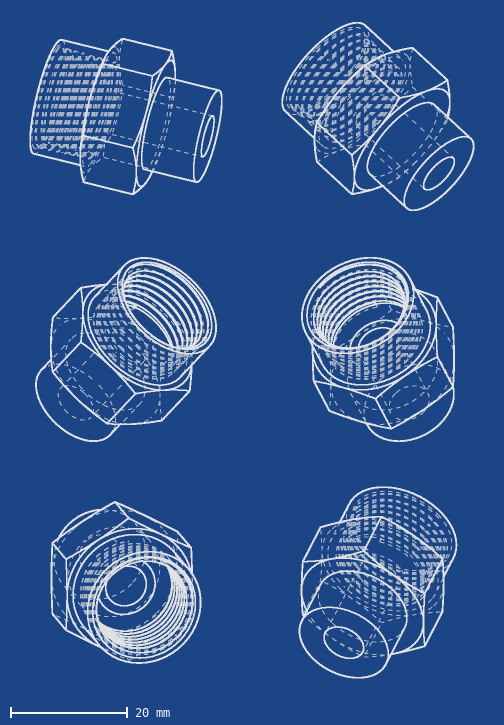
import math

import cadquery as cq


total_length = 28.7
socket_diameter = 20.1
spigot_diameter = 16.2
across_flats = 22.225
hex_length = 10.1
hex_start = (total_length - hex_length) / 2
hex_end = hex_start + hex_length
hex_chamfer_angle = 20
hex_half_angle = 30

mouth_diameter = 18.25
mouth_chamfer_angle = 45
mouth_crest_diameter = 16.0
seat_diameter = 10.3
through_diameter = 7.2
drill_point_half_angle = 59
bore_depth = 10.1

threads_per_inch = 18
mm_per_inch = 25.4
pitch = mm_per_inch / threads_per_inch
diameter_taper = 1 / 16
taper_slope = diameter_taper / 2
thread_depth = 0.9
crest_width = 0.17
flank_half_angle = 30
thread_overrun = 0.1
thread_end = bore_depth + thread_overrun
thread_lead_in = 1.5 * pitch
groove_overlap = 0.05


def crest_radius(x):
    """Radius of the tapered bore, which is also the thread crest, at x."""
    return mouth_crest_diameter / 2 - x * taper_slope


def make_hexagon():
    """Hexagonal collar with a corner up along Z and both ends chamfered."""
    corner_radius = across_flats / 2 / math.cos(math.radians(hex_half_angle))
    corner_drop = corner_radius - across_flats / 2
    chamfer_length = corner_drop * math.tan(math.radians(hex_chamfer_angle))
    prism = (
        cq.Workplane("YZ", origin=(hex_start, 0, 0))
        .polygon(6, 2 * corner_radius)
        .extrude(hex_length)
        .rotate((0, 0, 0), (1, 0, 0), 90)
    )
    corner_envelope = (
        cq.Workplane("YZ", origin=(hex_start, 0, 0))
        .circle(corner_radius)
        .extrude(hex_length)
        .faces("<X or >X")
        .chamfer(chamfer_length, corner_drop)
    )
    return prism.intersect(corner_envelope)


def make_body():
    """Socket cylinder, hexagonal collar and spigot cylinder in one row."""
    socket = cq.Workplane("YZ").circle(socket_diameter / 2).extrude(hex_end)
    spigot = (
        cq.Workplane("YZ", origin=(hex_start, 0, 0))
        .circle(spigot_diameter / 2)
        .extrude(total_length - hex_start)
    )
    return socket.union(make_hexagon()).union(spigot)


def make_bore():
    """Chamfered tapered bore, conical floor, flat seat and through hole."""
    mouth_radius = mouth_diameter / 2
    seat_radius = seat_diameter / 2
    through_radius = through_diameter / 2
    chamfer_slope = math.tan(math.radians(mouth_chamfer_angle))
    chamfer_depth = (mouth_radius - crest_radius(0)) / (chamfer_slope - taper_slope)
    floor_radius = crest_radius(bore_depth)
    point_depth = (floor_radius - seat_radius) / math.tan(math.radians(drill_point_half_angle))
    seat_x = bore_depth + point_depth
    return (
        cq.Workplane("XY")
        .moveTo(0, 0)
        .lineTo(0, mouth_radius)
        .lineTo(chamfer_depth, crest_radius(chamfer_depth))
        .lineTo(bore_depth, floor_radius)
        .lineTo(seat_x, seat_radius)
        .lineTo(seat_x, through_radius)
        .lineTo(total_length, through_radius)
        .lineTo(total_length, 0)
        .close()
        .revolve(360, (0, 0, 0), (1, 0, 0))
    )


def make_thread_groove():
    """Right-hand helical groove that widens toward the mouth with the taper."""
    flank_run = math.tan(math.radians(flank_half_angle))
    half_opening = (pitch - crest_width) / 2 + groove_overlap * flank_run
    half_root = half_opening - (thread_depth + groove_overlap) * flank_run
    start_radius = crest_radius(thread_end)
    inner = start_radius - groove_overlap
    outer = start_radius + thread_depth
    path = cq.Wire.makeHelix(
        pitch,
        thread_end + thread_lead_in,
        start_radius,
        angle=math.degrees(math.atan(taper_slope)),
    )
    groove = (
        cq.Workplane("XZ")
        .polyline([
            (inner, -half_opening),
            (outer, -half_root),
            (outer, half_root),
            (inner, half_opening),
        ])
        .close()
        .sweep(cq.Workplane(path), isFrenet=True)
    )
    return groove.rotate((0, 0, 0), (0, 1, 0), -90).translate((thread_end, 0, 0))


result = make_body().cut(make_bore()).cut(make_thread_groove())